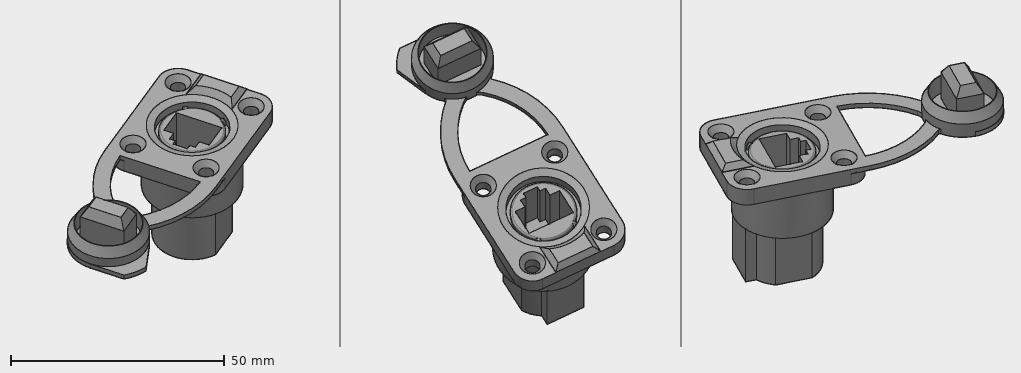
import cadquery as cq
import math

TOTAL_LENGTH = 71.2

PLATE_WIDTH = 29.0
PLATE_LENGTH = 33.95
PLATE_THICKNESS = 4.5
PLATE_CORNER_RADIUS = 5.0
GASKET_THICKNESS = 1.3
HOLE_SPACING_X = 19.1
HOLE_SPACING_Y = 24.0
HOLE_DIAMETER = 3.55
COUNTERSINK_DIAMETER = 6.1
COUNTERSINK_DEPTH = 1.6

BODY_RADIUS = 11.95
BODY_BOTTOM = -18.45
TAIL_BOTTOM = -33.9
TAIL_RADIUS = 9.5
TAIL_WIDTH = 16.65
KEY_WIDTH = 9.8
KEY_REACH = 10.75

RECESS_TOP_RADIUS = 10.75
RECESS_RADIUS = 8.8
RECESS_CONE_DEPTH = 0.65
RECESS_FLOOR = -3.0
INSERT_TOP = -1.5
INSERT_RADIUS = 7.8
INSERT_ROUNDING = 0.4
SECTOR_RADIUS = 8.0
RIB_ANGLE = 37.0
RIB_WIDTH = 1.3
RIB_END_RADIUS = 8.6

SOCKET_TOP_Y = 3.8
SOCKET_STEPS = [(11.8, -3.0), (6.7, -5.1), (3.7, -6.4)]
SOCKET_DEPTH = 14.25

BUMP_WIDTH = 11.95
BUMP_BASE = 0.15
BUMP_CHAMFER = 1.35
BUMP_HEIGHT = BUMP_BASE + BUMP_CHAMFER
BUMP_TOP_RADIUS = 12.25

STRAP_OUTER_RADIUS = 27.0
STRAP_WIDTH = 4.05
STRAP_CROTCH_RADIUS = 3.9
STRAP_NECK_WIDTH = 12.25

CAP_RADIUS = 9.6
CAP_SHOULDER = 2.55
CAP_TOP = 5.1
CAP_RIM_RADIUS = 8.1
CAP_CAVITY_RADIUS = 8.0
CAP_CAVITY_FLOOR = 0.0
PLUG_WIDTH = 11.4
PLUG_DEPTH = 6.8
PLUG_SHOULDER = 7.55
PLUG_TOP = 10.1
PLUG_INSET = 1.5
TAB_RADIUS = 13.1
TAB_ROOT_RADIUS = 9.7
TAB_ARC_ANGLE = math.radians(26.0)

PLATE_END = PLATE_LENGTH / 2
CAP_Y = PLATE_END - TOTAL_LENGTH + TAB_ROOT_RADIUS


def cylinder(radius, bottom, top):
    return cq.Workplane("XY").workplane(offset=bottom).circle(radius).extrude(top - bottom)


def cone(bottom_radius, bottom, top_radius, top):
    return (
        cq.Workplane("XY").workplane(offset=bottom).circle(bottom_radius)
        .workplane(offset=top - bottom).circle(top_radius).loft()
    )


def block(width, y_min, y_max, bottom, top):
    return (
        cq.Workplane("XY").workplane(offset=bottom).center(0, (y_min + y_max) / 2)
        .rect(width, y_max - y_min).extrude(top - bottom)
    )


def make_plate():
    plate = block(PLATE_WIDTH, -PLATE_END, PLATE_END, -PLATE_THICKNESS, 0)
    return plate.edges("|Z").fillet(PLATE_CORNER_RADIUS)


def make_body():
    body = cylinder(BODY_RADIUS, BODY_BOTTOM, -PLATE_THICKNESS)
    tail = cylinder(TAIL_RADIUS, TAIL_BOTTOM, BODY_BOTTOM)
    tail = tail.intersect(block(TAIL_WIDTH, -TAIL_RADIUS, TAIL_RADIUS, TAIL_BOTTOM, BODY_BOTTOM))
    key = block(KEY_WIDTH, 0, KEY_REACH, TAIL_BOTTOM, BODY_BOTTOM)
    return body.union(tail).union(key)


def make_bump():
    bump = block(BUMP_WIDTH, 0, PLATE_END, 0, BUMP_HEIGHT)
    bump = bump.edges(">Z and (>Y or <X or >X)").chamfer(BUMP_CHAMFER)
    return bump.cut(cone(RECESS_TOP_RADIUS, 0, BUMP_TOP_RADIUS, BUMP_HEIGHT))


def strap_sheet(half_width, arc_radius, end_x):
    """Sheet narrowing from the plate end along two mirrored arcs until x = +-end_x."""
    centre_x = half_width - arc_radius

    def arc_point(x):
        return x, -PLATE_END - math.sqrt(arc_radius**2 - (x - centre_x) ** 2)

    mid = arc_point((half_width + end_x) / 2)
    end = arc_point(end_x)
    outline = (
        cq.Workplane("XY").workplane(offset=-GASKET_THICKNESS)
        .moveTo(-half_width, -PLATE_END).lineTo(half_width, -PLATE_END)
        .threePointArc(mid, end)
    )
    if end_x > 0:
        outline = outline.lineTo(end_x, CAP_Y).lineTo(-end_x, CAP_Y).lineTo(-end_x, end[1])
    outline = outline.threePointArc((-mid[0], mid[1]), (-half_width, -PLATE_END)).close()
    return outline.extrude(GASKET_THICKNESS)


def make_strap():
    half_width = PLATE_WIDTH / 2
    strap = strap_sheet(half_width, STRAP_OUTER_RADIUS, STRAP_NECK_WIDTH / 2)
    window = strap_sheet(half_width - STRAP_WIDTH, STRAP_OUTER_RADIUS - STRAP_WIDTH, 0)
    window = window.edges("|Z and <Y").fillet(STRAP_CROTCH_RADIUS)
    shoulders = block(PLATE_WIDTH, -PLATE_END, 0, -GASKET_THICKNESS, 0)
    return strap.cut(window).union(shoulders)


def make_tab():
    """Flat ear bounded by an arc and two tangents, with a skirt round a quarter of the cap."""
    tangent_angle = math.acos(TAB_ROOT_RADIUS / TAB_RADIUS)
    root_start = -math.pi / 2
    arc_start = root_start + tangent_angle
    arc_end = arc_start + TAB_ARC_ANGLE
    root_end = arc_end + tangent_angle

    def polar(radius, angle):
        return radius * math.cos(angle), radius * math.sin(angle)

    return (
        cq.Workplane("XY").workplane(offset=-GASKET_THICKNESS).center(0, CAP_Y)
        .lineTo(-TAB_ROOT_RADIUS, 0)
        .threePointArc(polar(TAB_ROOT_RADIUS, -3 * math.pi / 4), (0, -TAB_ROOT_RADIUS))
        .lineTo(*polar(TAB_RADIUS, arc_start))
        .threePointArc(polar(TAB_RADIUS, (arc_start + arc_end) / 2), polar(TAB_RADIUS, arc_end))
        .lineTo(*polar(TAB_ROOT_RADIUS, root_end)).close().extrude(GASKET_THICKNESS)
    )


def make_cap():
    cap = cylinder(CAP_RADIUS, -GASKET_THICKNESS, CAP_SHOULDER)
    cap = cap.union(cone(CAP_RADIUS, CAP_SHOULDER, CAP_RIM_RADIUS, CAP_TOP))
    cap = cap.cut(cylinder(CAP_CAVITY_RADIUS, CAP_CAVITY_FLOOR, CAP_TOP))
    half_depth = PLUG_DEPTH / 2
    plug = block(PLUG_WIDTH, -half_depth, half_depth, CAP_CAVITY_FLOOR, PLUG_SHOULDER)
    tip = (
        cq.Workplane("XY").workplane(offset=PLUG_SHOULDER).rect(PLUG_WIDTH, PLUG_DEPTH)
        .workplane(offset=PLUG_TOP - PLUG_SHOULDER)
        .rect(PLUG_WIDTH - 2 * PLUG_INSET, PLUG_DEPTH - 2 * PLUG_INSET).loft()
    )
    return cap.union(plug).union(tip).translate((0, CAP_Y, 0))


def make_recess():
    bore = cylinder(RECESS_RADIUS, RECESS_FLOOR, 0)
    return bore.union(cone(RECESS_RADIUS, -RECESS_CONE_DEPTH, RECESS_TOP_RADIUS, 0))


def make_insert():
    """Round boss with a slightly larger sector, flanked by two ribs that nearly reach the recess wall."""
    side_x = BODY_RADIUS * math.tan(math.radians(RIB_ANGLE))
    sector = (
        cq.Workplane("XY").workplane(offset=RECESS_FLOOR)
        .polyline([(0, 0), (side_x, BODY_RADIUS), (-side_x, BODY_RADIUS)]).close()
        .extrude(INSERT_TOP - RECESS_FLOOR)
    )
    insert = cylinder(INSERT_RADIUS, RECESS_FLOOR, INSERT_TOP)
    insert = insert.union(cylinder(SECTOR_RADIUS, RECESS_FLOOR, INSERT_TOP).intersect(sector))
    rib = block(RIB_WIDTH, 0, RIB_END_RADIUS, RECESS_FLOOR, INSERT_TOP)
    for angle in (-RIB_ANGLE, RIB_ANGLE):
        insert = insert.union(rib.rotate((0, 0, 0), (0, 0, 1), angle))
    return insert.faces(">Z").edges().fillet(INSERT_ROUNDING)


def cut_socket(part):
    for width, bottom_y in SOCKET_STEPS:
        part = part.cut(block(width, bottom_y, SOCKET_TOP_Y, INSERT_TOP - SOCKET_DEPTH, INSERT_TOP))
    return part


def make_screw_hole():
    shank = cylinder(HOLE_DIAMETER / 2, -PLATE_THICKNESS, 0)
    return shank.union(cone(HOLE_DIAMETER / 2, -COUNTERSINK_DEPTH, COUNTERSINK_DIAMETER / 2, 0))


def cut_screw_holes(part):
    hole = make_screw_hole()
    for x in (-HOLE_SPACING_X / 2, HOLE_SPACING_X / 2):
        for y in (-HOLE_SPACING_Y / 2, HOLE_SPACING_Y / 2):
            part = part.cut(hole.translate((x, y, 0)))
    return part


part = make_plate().union(make_body()).union(make_strap()).union(make_bump())
part = cut_screw_holes(part)
part = part.cut(make_recess()).union(make_insert())
part = cut_socket(part)
result = part.union(make_tab()).union(make_cap())